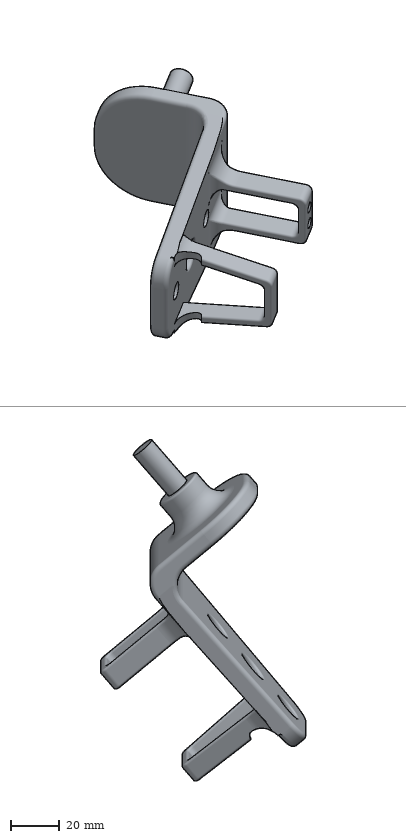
import cadquery as cq
import math


HEIGHT = 60.0
PLATE = 8.0
PAD_LEFT = -24.9
PAD_CORNER = 24.9
ARM_OUTER_X = 33.0
ARM_INNER_X = ARM_OUTER_X - PLATE
ARM_END_Y = -98.0
ARM_END_HALF = 20.6
BEND = 10.0
ARM_CORNER = 10.0
EDGE_ROUND = 2.0
TAPER_BLEND = 2.7
END_FLARE_ANGLE = 14.0
CLEARANCE = 1.4

ROD_RADIUS = 5.0
ROD_TIP_Y = 37.5
BOSS_RADIUS = 10.0
BOSS_HEIGHT = 15.0
BOSS_FILLET = 8.0
BOSS_TIP_ROUND = 1.0

HOLE_PITCH = 22.5
MIDDLE_HOLE_Y = -63.0
MIDDLE_HOLE_DIA = 12.7
MIDDLE_RIM = 1.2
SCREW_DIA = 7.6
COUNTERBORE_DIA = 12.0
COUNTERBORE_DEPTH = 5.0
SCREW_RIM = 1.0

FRAME_TIP_X = 73.6
FRAME_BAR = 3.5
FRAME_END_HALF = 12.9
FRAME_CORNER = 3.0
FRAME_EDGE_ROUND = 1.0
ROOT_FILLET = 5.0
ROOT_EMBED = 1.4
UPPER_FRAME_BACK = -22.0
UPPER_FRAME_FRONT = -32.0
UPPER_FLARE = 10.0
PIN_HOLE_DIA = 4.6
PIN_HOLE_SPACING = 9.0
LOWER_FRAME_BACK = -74.1
LOWER_FRAME_FRONT = -83.0
LOWER_FRAME_ANGLE = 10.1
LOWER_FLARE_LENGTH = 6.1
LOWER_FLARE_HALF = 22.5
LOWER_ROOT_FILLET = 8.0
GROOVE_RADIUS = 2.7
GROOVE_X = 40.5


def near(x, y, z):
    """Selector for the edge whose centre is closest to a point."""
    return cq.NearestToPointSelector((x, y, z))


def round_arm_end(prism):
    """Round the two corners at the free end of the arm."""
    return prism.faces("<Y").edges("|X").fillet(ARM_CORNER)


def arm_taper():
    """Prism along X whose outline narrows from the bend to the rounded arm end."""
    half = HEIGHT / 2
    outline = [
        (CLEARANCE, half), (-BEND, half), (ARM_END_Y, ARM_END_HALF),
        (ARM_END_Y, -ARM_END_HALF), (-BEND, -half), (CLEARANCE, -half),
    ]
    left_x = PAD_LEFT - CLEARANCE
    prism = cq.Workplane("YZ", origin=(left_x, 0, 0)).polyline(outline).close().extrude(FRAME_TIP_X - left_x)
    mid_x = (left_x + FRAME_TIP_X) / 2
    prism = prism.edges(near(mid_x, -BEND, half)).fillet(TAPER_BLEND)
    prism = prism.edges(near(mid_x, -BEND, -half)).fillet(TAPER_BLEND)
    return round_arm_end(prism)


def end_rounding():
    """Block that carries the rounded outer edge of the arm end and flares away from the arm sides."""
    taper = math.atan((HEIGHT / 2 - ARM_END_HALF) / (-BEND - ARM_END_Y))
    flare = math.radians(END_FLARE_ANGLE)
    centre = ARM_END_HALF - ARM_CORNER * math.tan(math.pi / 4 - taper / 2)
    end_half = centre + ARM_CORNER * math.tan(math.pi / 4 - flare / 2)
    wide_half = end_half + (CLEARANCE - ARM_END_Y) * math.tan(flare)
    outline = [
        (CLEARANCE, wide_half), (ARM_END_Y, end_half),
        (ARM_END_Y, -end_half), (CLEARANCE, -wide_half),
    ]
    left_x = PAD_LEFT - CLEARANCE
    block = cq.Workplane("YZ", origin=(left_x, 0, 0)).polyline(outline).close().extrude(ARM_OUTER_X - left_x)
    block = round_arm_end(block)
    return block.edges(near(ARM_OUTER_X, ARM_END_Y, 0)).fillet(EDGE_ROUND)


def plate():
    """Pad, bend and arm with rounded edges."""
    body = (
        cq.Workplane("XY").workplane(offset=-HEIGHT / 2)
        .moveTo(PAD_LEFT, 0)
        .lineTo(ARM_OUTER_X - BEND, 0)
        .radiusArc((ARM_OUTER_X, -BEND), BEND)
        .lineTo(ARM_OUTER_X, ARM_END_Y)
        .lineTo(ARM_INNER_X, ARM_END_Y)
        .lineTo(ARM_INNER_X, -PLATE - BEND)
        .radiusArc((ARM_INNER_X - BEND, -PLATE), -BEND)
        .lineTo(PAD_LEFT, -PLATE)
        .close().extrude(HEIGHT)
    )
    body = body.faces("<X").edges("|Y").fillet(PAD_CORNER)
    body = body.edges(near(PAD_LEFT, 0, 0)).fillet(EDGE_ROUND)
    body = body.intersect(arm_taper()).intersect(end_rounding())
    return body.edges(near(PAD_LEFT, -PLATE, 0)).fillet(EDGE_ROUND)


def rod_and_boss():
    """Rod on a round boss that flares into the back of the pad."""
    profile = (
        cq.Workplane("XY")
        .moveTo(0, -PLATE / 2)
        .lineTo(BOSS_RADIUS + BOSS_FILLET, -PLATE / 2)
        .lineTo(BOSS_RADIUS + BOSS_FILLET, 0)
        .radiusArc((BOSS_RADIUS, BOSS_FILLET), BOSS_FILLET)
        .lineTo(BOSS_RADIUS, BOSS_HEIGHT)
        .lineTo(0, BOSS_HEIGHT)
        .close()
    )
    boss = profile.revolve(360, (0, 0), (0, 1)).faces(">Y").edges().fillet(BOSS_TIP_ROUND)
    rod = cq.Workplane("XZ").circle(ROD_RADIUS).extrude(-ROD_TIP_Y)
    return boss.union(rod)


def drill_arm(body):
    """Plain middle hole between two counterbored screw holes, with rounded rims."""
    drill = cq.Workplane("YZ", origin=(ARM_INNER_X, MIDDLE_HOLE_Y, 0))
    screw_centres = [(-HOLE_PITCH, 0), (HOLE_PITCH, 0)]
    body = body.cut(drill.circle(MIDDLE_HOLE_DIA / 2).extrude(PLATE))
    body = body.cut(drill.pushPoints(screw_centres).circle(SCREW_DIA / 2).extrude(PLATE))
    body = body.cut(drill.pushPoints(screw_centres).circle(COUNTERBORE_DIA / 2).extrude(COUNTERBORE_DEPTH))
    rims = [
        (MIDDLE_HOLE_Y, MIDDLE_HOLE_DIA, MIDDLE_RIM),
        (MIDDLE_HOLE_Y - HOLE_PITCH, COUNTERBORE_DIA, SCREW_RIM),
        (MIDDLE_HOLE_Y + HOLE_PITCH, COUNTERBORE_DIA, SCREW_RIM),
    ]
    for y, diameter, rim in rims:
        body = body.edges(near(ARM_INNER_X, y, diameter / 2)).fillet(rim)
    return body.edges(near(ARM_OUTER_X, MIDDLE_HOLE_Y, MIDDLE_HOLE_DIA / 2)).fillet(MIDDLE_RIM)


def mirrored_prism(half_outline, back_y, front_y):
    """Extrude a half outline along Y and join it to its mirror image below Z = 0."""
    half = half_outline.extrude(back_y - front_y).translate((0, back_y, 0))
    return half.union(half.mirror("XY")).clean()


def round_frame_edges(frame, back_y, front_y):
    """Round the long edges of a frame, outside and inside, on both of its flat sides."""
    for y in (back_y, front_y):
        frame = frame.edges(near(FRAME_TIP_X, y, 0)).fillet(FRAME_EDGE_ROUND)
        frame = frame.edges(near(FRAME_TIP_X - FRAME_BAR, y, 0)).fillet(FRAME_EDGE_ROUND)
    return frame


def flared_side(back_y, front_y, back_flare, front_flare):
    """Straight band between two Y planes that widens by arcs where it meets the arm."""
    root_x = ARM_OUTER_X - ROOT_EMBED
    plan = cq.Workplane("XY", origin=(0, 0, -HEIGHT / 2)).moveTo(root_x, back_y + back_flare)
    if back_flare:
        plan = plan.lineTo(ARM_OUTER_X, back_y + back_flare)
        plan = plan.radiusArc((ARM_OUTER_X + back_flare, back_y), -back_flare)
    plan = plan.lineTo(FRAME_TIP_X, back_y).lineTo(FRAME_TIP_X, front_y)
    plan = plan.lineTo(ARM_OUTER_X + front_flare, front_y)
    plan = plan.radiusArc((ARM_OUTER_X, front_y - front_flare), -front_flare)
    return plan.lineTo(root_x, front_y - front_flare).close().extrude(HEIGHT)


def upper_frame():
    """Frame nearest the pad: straight bars, flared on all sides at the root, pin holes in the end bar."""
    back_y = UPPER_FRAME_BACK + ROOT_FILLET
    front_y = UPPER_FRAME_FRONT - ROOT_FILLET
    root_x = ARM_OUTER_X - ROOT_EMBED
    outer = FRAME_END_HALF
    inner = outer - FRAME_BAR
    bar_inner_x = FRAME_TIP_X - FRAME_BAR
    half = (
        cq.Workplane("XZ")
        .moveTo(root_x, inner - ROOT_FILLET)
        .lineTo(ARM_OUTER_X, inner - ROOT_FILLET)
        .radiusArc((ARM_OUTER_X + ROOT_FILLET, inner), ROOT_FILLET)
        .lineTo(bar_inner_x - FRAME_CORNER, inner)
        .radiusArc((bar_inner_x, inner - FRAME_CORNER), FRAME_CORNER)
        .lineTo(bar_inner_x, 0)
        .lineTo(FRAME_TIP_X, 0)
        .lineTo(FRAME_TIP_X, outer - FRAME_CORNER)
        .radiusArc((FRAME_TIP_X - FRAME_CORNER, outer), -FRAME_CORNER)
        .lineTo(ARM_OUTER_X + UPPER_FLARE, outer)
        .radiusArc((ARM_OUTER_X, outer + UPPER_FLARE), UPPER_FLARE)
        .lineTo(root_x, outer + UPPER_FLARE)
        .close()
    )
    frame = mirrored_prism(half, back_y, front_y)
    frame = frame.intersect(flared_side(UPPER_FRAME_BACK, UPPER_FRAME_FRONT, ROOT_FILLET, ROOT_FILLET))
    frame = round_frame_edges(frame, UPPER_FRAME_BACK, UPPER_FRAME_FRONT)
    mid_y = (UPPER_FRAME_BACK + UPPER_FRAME_FRONT) / 2
    pins = cq.Workplane("YZ", origin=(FRAME_TIP_X, mid_y, 0)).rarray(1.4, PIN_HOLE_SPACING, 1, 2)
    return frame.cut(pins.circle(PIN_HOLE_DIA / 2).extrude(-FRAME_BAR))


def lower_frame():
    """Frame nearest the arm end: bars that converge, with a round groove across their front faces."""
    root_x = ARM_OUTER_X - ROOT_EMBED
    slope = math.tan(math.radians(LOWER_FRAME_ANGLE))
    bar_rise = FRAME_BAR / math.cos(math.radians(LOWER_FRAME_ANGLE))

    def outer_z(x):
        return FRAME_END_HALF + slope * (FRAME_TIP_X - x)

    def inner_z(x):
        return outer_z(x) - bar_rise

    flare_x = ARM_OUTER_X + LOWER_FLARE_LENGTH
    bar_inner_x = FRAME_TIP_X - FRAME_BAR
    outer_half = (
        cq.Workplane("XZ")
        .moveTo(FRAME_TIP_X, 0)
        .lineTo(FRAME_TIP_X, outer_z(FRAME_TIP_X))
        .lineTo(flare_x, outer_z(flare_x))
        .tangentArcPoint((ARM_OUTER_X, LOWER_FLARE_HALF), relative=False)
        .lineTo(root_x, LOWER_FLARE_HALF)
        .lineTo(root_x, 0)
        .close()
    )
    window_half = (
        cq.Workplane("XZ")
        .moveTo(bar_inner_x, 0)
        .lineTo(bar_inner_x, inner_z(bar_inner_x))
        .lineTo(root_x, inner_z(root_x))
        .lineTo(root_x, 0)
        .close()
    )
    back_y = LOWER_FRAME_BACK
    floor_y = LOWER_FRAME_FRONT + GROOVE_RADIUS
    front_y = floor_y - LOWER_ROOT_FILLET
    frame = mirrored_prism(outer_half, back_y, front_y)
    frame = frame.edges("|Y and >X").fillet(FRAME_CORNER)
    window = mirrored_prism(window_half, back_y, front_y)
    window = window.edges("|Y and >X").fillet(FRAME_CORNER)
    frame = frame.cut(window)
    side = flared_side(back_y, floor_y, 0, LOWER_ROOT_FILLET)
    bars = cq.Workplane("XY", origin=(GROOVE_X, LOWER_FRAME_FRONT, 0))
    bars = bars.box(FRAME_TIP_X - GROOVE_X, back_y - LOWER_FRAME_FRONT, HEIGHT, (False, False, True))
    frame = frame.intersect(side.union(bars).clean())
    frame = round_frame_edges(frame, LOWER_FRAME_BACK, LOWER_FRAME_FRONT)
    frame = frame.intersect(arm_taper())
    groove = cq.Workplane("XY", origin=(GROOVE_X, LOWER_FRAME_FRONT, -HEIGHT / 2))
    return frame.cut(groove.circle(GROOVE_RADIUS).extrude(HEIGHT))


bracket = drill_arm(plate().union(rod_and_boss()))
result = bracket.union(upper_frame()).union(lower_frame())